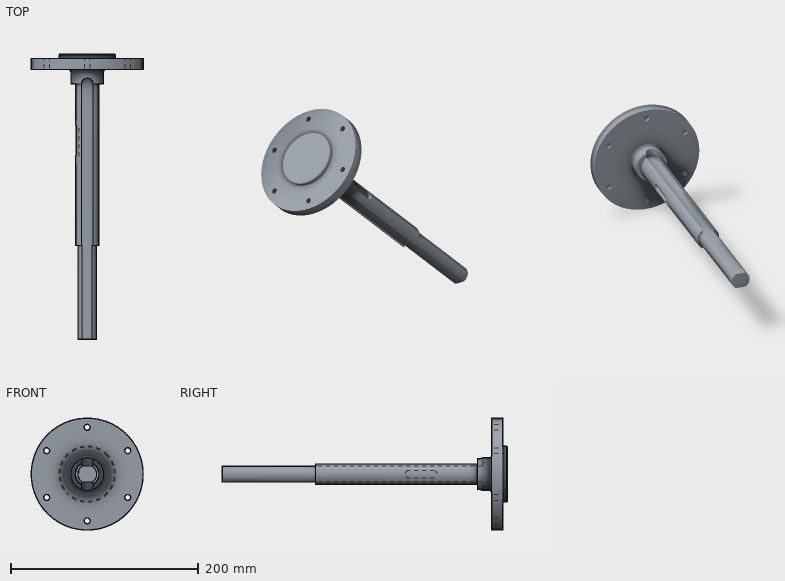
import cadquery as cq

total_length = 305.0
flange_diameter = 120.0
flange_thickness = 12.0
spigot_diameter = 60.0
spigot_length = 5.0
spigot_chamfer = 1.0
hub_diameter = 35.0
hub_length = 15.2
hub_fillet = 2.6
shaft_diameter = 25.0
shaft_root_fillet = 0.3
journal_diameter = 20.0
journal_length = 100.0

bolt_count = 6
bolt_circle_diameter = 100.0
bolt_hole_diameter = 6.0

spline_width = 12.2
spline_floor_height = 8.5
key_width = 8.2
key_length = 34.0
key_depth = 4.0
key_hub_gap = 43.3

tip_y = -total_length / 2
back_y = total_length / 2
shoulder_y = tip_y + journal_length
flange_back_y = back_y - spigot_length
flange_front_y = flange_back_y - flange_thickness
hub_front_y = flange_front_y - hub_length


def cylinder(diameter, start_y, end_y):
    """Cylinder about the Y axis between two stations."""
    face = cq.Workplane("XZ", origin=(0, start_y, 0))
    return face.circle(diameter / 2).extrude(start_y - end_y)


def fillet_root(body, face_y, radius):
    """Round the inside corner where a smaller cylinder leaves the face at face_y."""
    reach = flange_diameter
    band = radius / 2
    corner = cq.selectors.BoxSelector(
        (-reach, face_y - band, -reach),
        (reach, face_y + band, reach),
        boundingbox=True,
    )
    return body.edges(corner).edges(cq.selectors.RadiusNthSelector(0)).fillet(radius)


def make_turned_body():
    flange = cylinder(flange_diameter, flange_front_y, flange_back_y)
    hub = cylinder(hub_diameter, hub_front_y, flange_front_y)
    shaft = cylinder(shaft_diameter, shoulder_y, hub_front_y)
    journal = cylinder(journal_diameter, tip_y, shoulder_y)
    spigot = cylinder(spigot_diameter, flange_back_y, back_y).faces(">Y").chamfer(spigot_chamfer)
    body = fillet_root(flange.union(hub), flange_front_y, hub_fillet)
    body = fillet_root(body.union(shaft), hub_front_y, shaft_root_fillet)
    return body.union(spigot).union(journal)


def make_bolt_holes():
    return (
        cq.Workplane("XZ", origin=(0, flange_back_y, 0))
        .polarArray(bolt_circle_diameter / 2, 90, 360, bolt_count)
        .circle(bolt_hole_diameter / 2)
        .extrude(flange_thickness)
    )


def make_upper_spline():
    """Keyway open at the tip, with a round end centred on the hub's front face."""
    half_width = spline_width / 2
    return (
        cq.Workplane("XY", origin=(0, 0, spline_floor_height))
        .moveTo(-half_width, tip_y)
        .lineTo(half_width, tip_y)
        .lineTo(half_width, hub_front_y)
        .threePointArc((0, hub_front_y + half_width), (-half_width, hub_front_y))
        .close()
        .extrude(hub_diameter)
    )


def make_side_keyway():
    centre_y = hub_front_y - key_hub_gap - key_length / 2
    floor_x = -shaft_diameter / 2 + key_depth
    return (
        cq.Workplane("YZ", origin=(floor_x, centre_y, 0))
        .slot2D(key_length, key_width)
        .extrude(-shaft_diameter)
    )


upper_spline = make_upper_spline()
result = (
    make_turned_body()
    .cut(make_bolt_holes())
    .cut(upper_spline)
    .cut(upper_spline.mirror("XY"))
    .cut(make_side_keyway())
)